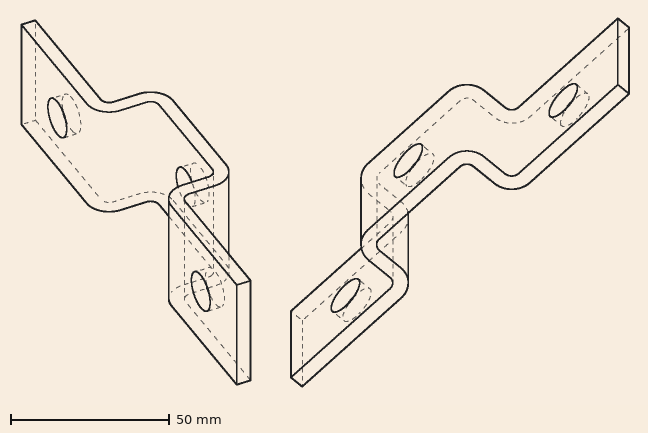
import cadquery as cq

length = 150.0
depth = 25.0
height = 40.0
thickness = 5.0
hat_width = 53.0
inner_bend_radius = 3.0
hole_diameter = 13.0
hole_pitch = 50.0

outer_bend_radius = inner_bend_radius + thickness
end_x = length / 2
wall_outer_x = hat_width / 2
wall_inner_x = wall_outer_x - thickness
front_y = -depth / 2
flange_back_y = front_y + thickness
back_y = depth / 2
web_front_y = back_y - thickness


def sharp_strip():
    """Hat-shaped strip with square corners, extruded along Z."""
    right_half = [
        (wall_inner_x, web_front_y),
        (wall_inner_x, front_y),
        (end_x, front_y),
        (end_x, flange_back_y),
        (wall_outer_x, flange_back_y),
        (wall_outer_x, back_y),
    ]
    left_half = [(-x, y) for x, y in reversed(right_half)]
    outline = right_half + left_half
    return cq.Workplane("XY").polyline(outline).close().extrude(height / 2, both=True)


def round_bends(strip):
    """Round both sides of all four bends about common bend axes."""
    bends = [
        (wall_outer_x, flange_back_y, inner_bend_radius),
        (wall_inner_x, front_y, outer_bend_radius),
        (wall_inner_x, web_front_y, inner_bend_radius),
        (wall_outer_x, back_y, outer_bend_radius),
    ]
    for side in (-1, 1):
        for x, y, radius in bends:
            corner = cq.selectors.NearestToPointSelector((side * x, y, 0))
            strip = strip.edges("|Z").edges(corner).fillet(radius)
    return strip


def bolt_holes():
    """Cylinders along Y through the web and both flanges."""
    return (
        cq.Workplane("XZ")
        .rarray(hole_pitch, 1.5, 3, 1)
        .circle(hole_diameter / 2)
        .extrude(depth, both=True)
    )


result = round_bends(sharp_strip()).cut(bolt_holes())